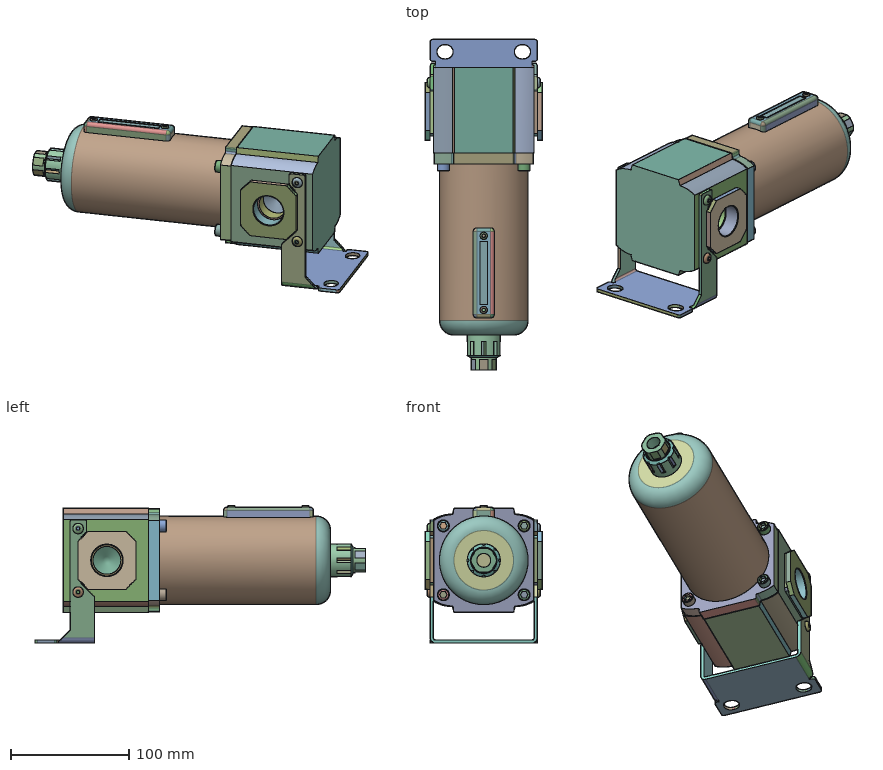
import cadquery as cq
import math


bracket_back = 61.0
housing_back = 37.0
housing_front = -35.0
flange_front = -44.5
bowl_front = -189.3
collar_edge = -206.5
collar_front = -208.3
drain_tip = -219.0

housing_half_width = 42.5
housing_half_height = 44.2
plateau_top_half_width = 25.0
plateau_base_half_width = 26.5
shoulder_height = 39.2
shoulder_arc_radius = 30.5
flange_inset = 0.5
flange_plateau_half_width = 25.8
flange_corner_fillet = 0.8
flange_root_fillet = 1.7

sheet = 2.8
bracket_half_width = housing_half_width + sheet

pad_face = 49.5
pad_size = 49.0
pad_chamfer = 8.5
neck_size = 42.0
neck_chamfer = 2.2
port_radius = 13.7
port_chamfer = 0.5
port_bore_radius = 13.2
port_bore_depth = 13.0
drill_radius = 11.8
drill_depth = 25.2
drill_point_angle = 118

bowl_radius = 37.5
bowl_fillet = 12.3

gauge_width = 18.0
gauge_length = 76.2
gauge_center = -136.5
gauge_top = 45.0
gauge_bottom = 34.7
gauge_fillet = 3.0
window_width = 6.5
window_length = 53.2
window_depth = 0.5
gauge_screw_spacing = 62.7
gauge_screw_radius = 3.0
gauge_screw_height = 1.5
gauge_screw_fillet = 1.0
gauge_socket_radius = 1.5
gauge_socket_depth = 0.5

collar_radius = 14.0
collar_nose_radius = 11.2
groove_count = 8
groove_width = 4.2
groove_depth = 1.7
groove_back = -194.5
tip_radius = 10.5
tip_flat_distance = 10.0
tip_flat_back = -209.7
tip_flat_count = 6
tip_bore_radius = 6.0
tip_bore_depth = 11.2

bolt_x = 34.2
bolt_z = 29.0
bolt_radius = 5.0
bolt_height = 6.0
bolt_chamfer = 0.5
bolt_socket_diameter = 6.5
bolt_socket_depth = 2.8

bracket_bottom = -70.0
bend_inner_radius = 1.7
leg_top = 34.2
leg_back = 31.0
leg_front = 10.5
leg_head_front = 17.0
leg_waist_front = 22.0
leg_heel_back = 41.0
leg_heel_height = -58.8
leg_corner_fillet = 1.5
leg_waist_half_height = 19.3
tab_front = 42.3
tab_corner_fillet = 2.2
web_half_width = bracket_half_width - sheet - bend_inner_radius
slot_hole_x = 32.8
slot_hole_y = 50.5
slot_hole_length = 13.5
slot_hole_width = 11.8

screw_y = 24.5
screw_z = 27.0
screw_radius = 4.5
screw_height = 2.5
screw_fillet = 2.2
screw_socket_radius = 1.5
screw_socket_depth = 1.5


def xz_plane(y):
    """Plane whose normal points to -Y, with local axes X and Z."""
    return cq.Workplane("XZ", origin=(0, y, 0))


def body_block(inset, plateau_top, plateau_base, back, front):
    """Prism with a plateau above and below and rounded shoulders, inset all round."""
    half_width = housing_half_width - inset
    top = housing_half_height - inset
    shoulder = shoulder_height - inset
    radius = shoulder_arc_radius - inset
    shoulder_run = half_width - plateau_base

    def shoulder_z(run):
        return shoulder - radius + math.sqrt(radius**2 - run**2)

    side = shoulder_z(shoulder_run)
    middle_x = plateau_base + shoulder_run / 2
    middle = shoulder_z(shoulder_run / 2)
    return (
        xz_plane(back)
        .moveTo(-half_width, -side)
        .lineTo(-half_width, side)
        .threePointArc((-middle_x, middle), (-plateau_base, shoulder))
        .lineTo(-plateau_top, top)
        .lineTo(plateau_top, top)
        .lineTo(plateau_base, shoulder)
        .threePointArc((middle_x, middle), (half_width, side))
        .lineTo(half_width, -side)
        .threePointArc((middle_x, -middle), (plateau_base, -shoulder))
        .lineTo(plateau_top, -top)
        .lineTo(-plateau_top, -top)
        .lineTo(-plateau_base, -shoulder)
        .threePointArc((-middle_x, -middle), (-half_width, -side))
        .close()
        .extrude(back - front)
    )


def edges_at(block, half_x, half_z):
    """The four edges along Y at X = +-half_x, Z = +-half_z."""
    center_y = (housing_front + flange_front) / 2
    points = [(x, center_y, z) for x in (-half_x, half_x) for z in (-half_z, half_z)]
    selector = cq.selectors.NearestToPointSelector(points[0])
    for point in points[1:]:
        selector = selector + cq.selectors.NearestToPointSelector(point)
    return block.edges(selector)


def make_flange():
    """Flange plate that joins the bowl to the housing."""
    half_width = flange_plateau_half_width
    flange = body_block(flange_inset, half_width, half_width, housing_front, flange_front)
    top = housing_half_height - flange_inset
    root = shoulder_height - flange_inset
    flange = edges_at(flange, half_width, top).fillet(flange_corner_fillet)
    return edges_at(flange, half_width, root).fillet(flange_root_fillet)


def octagon_block(size, chamfer, inner_x, outer_x):
    """Square block on the +X side with chamfered corners."""
    return (
        cq.Workplane("YZ", origin=(inner_x, 0, 0))
        .rect(size, size)
        .extrude(outer_x - inner_x)
        .edges("|X")
        .chamfer(chamfer)
    )


def port_cutter():
    """Port on the +X side: chamfered bore, then a drilled hole with a conical end."""
    step_x = pad_face - port_bore_depth
    drill_x = pad_face - drill_depth
    point_length = drill_radius / math.tan(math.radians(drill_point_angle / 2))
    return (
        cq.Workplane("XY")
        .moveTo(drill_x - point_length, 0)
        .lineTo(drill_x, drill_radius)
        .lineTo(step_x, drill_radius)
        .lineTo(step_x, port_bore_radius)
        .lineTo(pad_face - port_chamfer, port_bore_radius)
        .lineTo(pad_face, port_radius)
        .lineTo(pad_face, 0)
        .close()
        .revolve(360, (0, 0, 0), (1, 0, 0))
    )


def both_sides(shape):
    """The shape and its mirror image across the YZ plane."""
    return shape.union(shape.mirror("YZ"))


def make_housing():
    """Housing with a port pad on each side."""
    block = body_block(
        0, plateau_top_half_width, plateau_base_half_width, housing_back, housing_front
    )
    neck = octagon_block(neck_size, neck_chamfer, housing_half_width, bracket_half_width)
    pad = octagon_block(pad_size, pad_chamfer, bracket_half_width, pad_face)
    return block.union(both_sides(neck.union(pad))).cut(both_sides(port_cutter()))


def make_gauge():
    """Rounded bar on top of the bowl with a shallow window and two screw heads."""
    gauge = (
        cq.Workplane("XY", origin=(0, gauge_center, gauge_bottom))
        .rect(gauge_width, gauge_length)
        .extrude(gauge_top - gauge_bottom)
        .edges("|Z or >Z")
        .fillet(gauge_fillet)
    )
    top = cq.Workplane("XY", origin=(0, gauge_center, gauge_top))
    gauge = gauge.cut(top.rect(window_width, window_length).extrude(-window_depth))
    half = gauge_screw_spacing / 2
    heads = (
        top.pushPoints([(0, -half), (0, half)])
        .circle(gauge_screw_radius)
        .extrude(gauge_screw_height)
        .faces(">Z")
        .edges()
        .fillet(gauge_screw_fillet)
    )
    sockets = (
        top.workplane(offset=gauge_screw_height)
        .pushPoints([(0, -half), (0, half)])
        .circle(gauge_socket_radius)
        .extrude(-gauge_socket_depth)
    )
    return gauge.union(heads).cut(sockets)


def make_bowl():
    """Bowl tube with its flange and level gauge."""
    tube = (
        xz_plane(flange_front)
        .circle(bowl_radius)
        .extrude(flange_front - bowl_front)
        .faces("<Y")
        .edges()
        .fillet(bowl_fillet)
    )
    return make_flange().union(tube).union(make_gauge())


def make_drain():
    """Grooved collar with a conical nose and a bored tip with six flats."""
    collar = xz_plane(bowl_front).circle(collar_radius).extrude(bowl_front - collar_edge)
    nose = (
        xz_plane(collar_edge)
        .circle(collar_radius)
        .workplane(offset=collar_edge - collar_front)
        .circle(collar_nose_radius)
        .loft()
    )
    groove = (
        xz_plane(groove_back)
        .moveTo(0, collar_radius - groove_depth)
        .lineTo(groove_width / 2, collar_radius)
        .lineTo(-groove_width / 2, collar_radius)
        .close()
        .extrude(groove_back - collar_edge)
    )
    for i in range(groove_count):
        collar = collar.cut(groove.rotate((0, 0, 0), (0, 1, 0), i * 360 / groove_count))

    tip = xz_plane(collar_front).circle(tip_radius).extrude(collar_front - drain_tip)
    flat = (
        xz_plane(tip_flat_back)
        .center(0, tip_flat_distance)
        .rect(2 * tip_radius, tip_radius, centered=(True, False))
        .extrude(tip_flat_back - drain_tip)
    )
    for i in range(tip_flat_count):
        tip = tip.cut(flat.rotate((0, 0, 0), (0, 1, 0), i * 360 / tip_flat_count))
    bore = xz_plane(drain_tip).circle(tip_bore_radius).extrude(-tip_bore_depth)
    return collar.union(nose).union(tip).cut(bore)


def make_bolt(x, z):
    """Socket head seated on the flange face."""
    socket = (
        xz_plane(flange_front - bolt_height)
        .polygon(6, bolt_socket_diameter)
        .extrude(-bolt_socket_depth)
    )
    return (
        xz_plane(flange_front)
        .circle(bolt_radius)
        .extrude(bolt_height)
        .faces("<Y")
        .edges()
        .chamfer(bolt_chamfer)
        .cut(socket)
        .translate((x, 0, z))
    )


def make_screw():
    """Domed screw head seated on the +X leg of the bracket."""
    return (
        cq.Workplane("YZ", origin=(bracket_half_width, screw_y, 0))
        .circle(screw_radius)
        .extrude(screw_height)
        .faces(">X")
        .edges()
        .fillet(screw_fillet)
        .faces(">X")
        .workplane()
        .circle(screw_socket_radius)
        .cutBlind(-screw_socket_depth)
    )


def make_bracket():
    """Bent sheet bracket with its screw heads."""
    height = leg_top - bracket_bottom
    depth = leg_heel_back - leg_front
    center_z = (leg_top + bracket_bottom) / 2
    outer = (
        xz_plane(leg_heel_back)
        .center(0, center_z)
        .rect(2 * bracket_half_width, height)
        .extrude(depth)
        .edges("|Y and <Z")
        .fillet(bend_inner_radius + sheet)
    )
    inner = (
        xz_plane(leg_heel_back)
        .center(0, center_z + sheet)
        .rect(2 * housing_half_width, height)
        .extrude(depth)
        .edges("|Y and <Z")
        .fillet(bend_inner_radius)
    )
    head_run = leg_waist_front - leg_head_front
    waist_run = leg_waist_front - leg_front
    side = (
        cq.Workplane("YZ", origin=(-bracket_half_width, 0, 0))
        .polyline(
            [
                (leg_back, leg_top),
                (leg_head_front, leg_top),
                (leg_head_front, leg_waist_half_height + head_run),
                (leg_waist_front, leg_waist_half_height),
                (leg_waist_front, -leg_waist_half_height),
                (leg_front, -leg_waist_half_height - waist_run),
                (leg_front, bracket_bottom),
                (leg_heel_back, bracket_bottom),
                (leg_heel_back, leg_heel_height - (leg_heel_back - leg_back)),
                (leg_back, leg_heel_height),
            ]
        )
        .close()
        .extrude(2 * bracket_half_width)
        .edges("|X and >Z")
        .fillet(leg_corner_fillet)
    )
    bent = outer.cut(inner).intersect(side)

    floor = cq.Workplane("XY", origin=(0, 0, bracket_bottom))
    tab = (
        floor.center(0, (bracket_back + tab_front) / 2)
        .rect(2 * bracket_half_width, bracket_back - tab_front)
        .extrude(sheet)
        .edges("|Z")
        .fillet(tab_corner_fillet)
    )
    web = (
        floor.center(0, (leg_back + slot_hole_y) / 2)
        .rect(2 * web_half_width, slot_hole_y - leg_back)
        .extrude(sheet)
    )
    holes = (
        floor.pushPoints([(-slot_hole_x, slot_hole_y), (slot_hole_x, slot_hole_y)])
        .slot2D(slot_hole_length, slot_hole_width)
        .extrude(sheet)
    )
    bracket = bent.union(tab).union(web).cut(holes)
    for z in (-screw_z, screw_z):
        bracket = bracket.union(both_sides(make_screw().translate((0, 0, z))))
    return bracket


housing = make_housing()
bowl = make_bowl()
drain = make_drain()
bracket = make_bracket()
bolts = [make_bolt(x, z) for x in (-bolt_x, bolt_x) for z in (-bolt_z, bolt_z)]

result = cq.Compound.makeCompound(
    [housing.val(), bowl.val(), drain.val(), bracket.val(), *[bolt.val() for bolt in bolts]]
)